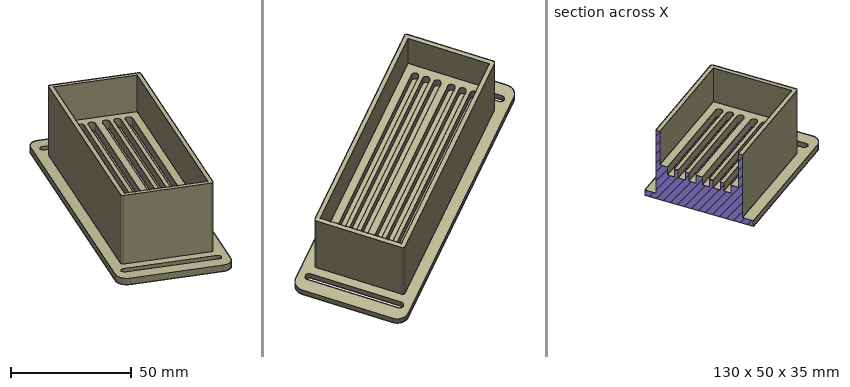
import cadquery as cq

base_length = 130.0
base_width = 50.0
base_thickness = 3.0
base_corner_radius = 5.0

slot_width = 3.1
strap_slot_length = 43.4
strap_slot_x = 57.5

total_height = 35.0
box_length = 104.0
box_width = 40.0
box_corner_radius = 1.0
wall = 2.0
cavity_depth = 17.0
floor_height = total_height - cavity_depth

groove_length = 93.1
groove_depth = 4.0
groove_pitch = 5.0
groove_first_y = 3.1
grooves_per_side = 3


def make_base():
    plate = cq.Workplane("XY").rect(base_length, base_width).extrude(base_thickness)
    return plate.edges("|Z").fillet(base_corner_radius)


def make_box():
    block = cq.Workplane("XY").rect(box_length, box_width).extrude(total_height)
    return block.edges("|Z").fillet(box_corner_radius)


def make_cavity():
    return (
        cq.Workplane("XY")
        .workplane(offset=floor_height)
        .rect(box_length - 2 * wall, box_width - 2 * wall)
        .extrude(cavity_depth)
    )


def make_strap_slots():
    return (
        cq.Workplane("XY")
        .pushPoints([(-strap_slot_x, 0), (strap_slot_x, 0)])
        .slot2D(strap_slot_length, slot_width, 90)
        .extrude(base_thickness)
    )


def make_grooves():
    centers = []
    for index in range(grooves_per_side):
        y = groove_first_y + index * groove_pitch
        centers += [(0, y), (0, -y)]
    return (
        cq.Workplane("XY")
        .workplane(offset=floor_height - groove_depth)
        .pushPoints(centers)
        .slot2D(groove_length, slot_width)
        .extrude(groove_depth)
    )


result = (
    make_base()
    .union(make_box())
    .cut(make_cavity())
    .cut(make_strap_slots())
    .cut(make_grooves())
)